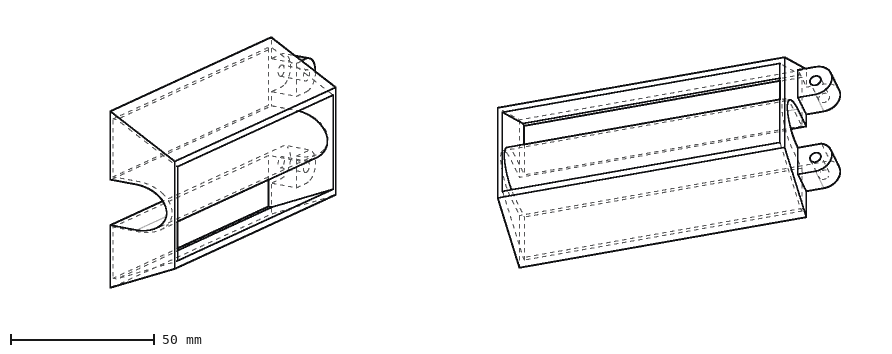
import cadquery as cq

depth = 26.7
height = 64.3
total_length = 116.4
tab_reach = 12.3
body_length = total_length - tab_reach
upper_slope_drop = 13.9
lower_slope_rise = 11.3

channel_bottom = 22.8
channel_top = 39.4
channel_apex = 23.3
channel_straight = 10.7
upper_wall = 0.7
lower_wall = 1.0
floor_wall = 1.0

end_wall = 1.7
rim_width = 3.1
rim_depth = 1.5

tab_thickness = 10.4
tab_radius = 6.0
tab_hole_diameter = 4.0
upper_tab_z = 50.5
lower_tab_z = 17.2
overlap = 1.2


def extrude_along_y(profile, start, length):
    """Extrude a closed XZ profile from Y = start towards +Y."""
    return profile.extrude(-length).translate((0, start, 0))


def channel_solid(bottom, top, apex, start, length):
    """Prism with straight flanks and a half-elliptic end at X = apex."""
    middle = (bottom + top) / 2
    flanks = (
        cq.Workplane("XZ")
        .moveTo(0, bottom)
        .lineTo(channel_straight, bottom)
        .lineTo(channel_straight, top)
        .lineTo(0, top)
        .close()
    )
    floor = (
        cq.Workplane("XZ")
        .center(channel_straight, middle)
        .ellipse(apex - channel_straight, (top - bottom) / 2)
    )
    return extrude_along_y(flanks, start, length).union(extrude_along_y(floor, start, length))


def make_body():
    profile = cq.Workplane("XZ").polyline([
        (0, 0),
        (depth, lower_slope_rise),
        (depth, height - upper_slope_drop),
        (0, height),
    ]).close()
    return extrude_along_y(profile, 0, body_length)


def make_pockets():
    """Interior of the frame, leaving the wall around the channel standing."""
    inner_bottom = rim_width
    inner_top = height - rim_width
    sloped_depth = depth - rim_depth
    profile = cq.Workplane("XZ").polyline([
        (0, inner_bottom),
        (rim_depth, inner_bottom),
        (depth, inner_bottom + lower_slope_rise * sloped_depth / depth),
        (depth, inner_top - upper_slope_drop * sloped_depth / depth),
        (rim_depth, inner_top),
        (0, inner_top),
    ]).close()
    pocket_length = body_length - 2 * end_wall
    interior = extrude_along_y(profile, end_wall, pocket_length)
    channel_wall = channel_solid(
        channel_bottom - lower_wall,
        channel_top + upper_wall,
        channel_apex + floor_wall,
        end_wall,
        pocket_length,
    )
    return interior.cut(channel_wall)


def make_tab(center_z):
    """Round-ended lug with a cross hole along X."""
    center_y = total_length - tab_radius
    root_y = body_length - overlap
    return (
        cq.Workplane("YZ")
        .moveTo(root_y, center_z - tab_radius)
        .lineTo(center_y, center_z - tab_radius)
        .threePointArc((total_length, center_z), (center_y, center_z + tab_radius))
        .lineTo(root_y, center_z + tab_radius)
        .close()
        .moveTo(center_y, center_z)
        .circle(tab_hole_diameter / 2)
        .extrude(tab_thickness)
    )


result = make_body()
for tab_z in (upper_tab_z, lower_tab_z):
    result = result.union(make_tab(tab_z))
result = result.cut(make_pockets())
result = result.cut(channel_solid(channel_bottom, channel_top, channel_apex, 0, total_length))